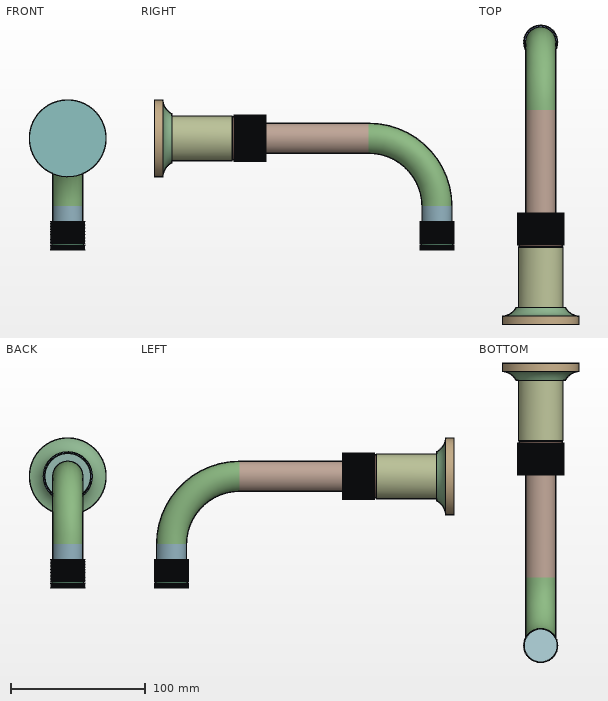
import cadquery as cq
import math

total_reach = 222.2
total_height = 111.3

flange_diameter = 57.1
flange_radius = flange_diameter / 2
rim_thickness = 6.2
flare_height = 13.0
flare_top_radius = 18.2
flare_middle = (21.5, 9.0)

sleeve_radius = 16.7
sleeve_chamfer = 0.7
neck_radius = sleeve_radius - sleeve_chamfer

tube_diameter = 22.5
tube_radius = tube_diameter / 2
bend_radius = 50.5

collar_radius = 17.3
collar_start = 59.1
collar_length = 23.8
collar_end = collar_start + collar_length
collar_diamonds = 48
collar_rows = 20
neck_length = 1.1

tip_radius = 12.7
tip_length = 21.0
outlet_drop = total_height - flange_radius
tip_diamonds = 36
tip_rows = 14
tip_band_rows = 2
tip_band_length = 3.1
tip_groove_width = 1.1

knurl_depth = 0.5
groove_radius = tip_radius - 2 * knurl_depth

outlet_y = total_reach - tip_radius
bend_start = outlet_y - bend_radius


def flat_face(corners):
    return cq.Face.makeFromWires(cq.Wire.makePolygon(corners, close=True))


def knurled_ring(radius, length, diamonds, rows):
    """Solid barrel along +Z whose side is covered with diamond-shaped pyramids."""
    columns = 2 * diamonds

    def grid_point(column, row):
        is_peak = (column + row) % 2 == 0
        r = radius if is_peak else radius - knurl_depth
        angle = 2 * math.pi * (column % columns) / columns
        return cq.Vector(r * math.cos(angle), r * math.sin(angle), length * row / rows)

    faces = []
    for column in range(columns):
        for row in range(rows):
            a = grid_point(column, row)
            b = grid_point(column + 1, row)
            c = grid_point(column + 1, row + 1)
            d = grid_point(column, row + 1)
            if (column + row) % 2 == 0:
                faces += [flat_face([a, b, d]), flat_face([b, c, d])]
            else:
                faces += [flat_face([a, b, c]), flat_face([a, c, d])]
    for row in (0, rows):
        rim = [grid_point(column, row) for column in range(columns)]
        faces.append(flat_face(rim))
    return cq.Workplane(cq.Solid.makeSolid(cq.Shell.makeShell(faces)))


def flange_and_sleeve():
    """Flange, hollow flare, sleeve and neck, turned about the Y axis."""
    neck_start = collar_start - neck_length
    return (
        cq.Workplane("XY")
        .lineTo(flange_radius, 0)
        .lineTo(flange_radius, rim_thickness)
        .threePointArc(flare_middle, (flare_top_radius, flare_height))
        .lineTo(sleeve_radius, flare_height)
        .lineTo(sleeve_radius, neck_start - sleeve_chamfer)
        .lineTo(neck_radius, neck_start)
        .lineTo(neck_radius, collar_start)
        .lineTo(0, collar_start)
        .close()
        .revolve(360, (0, 0, 0), (0, 1, 0))
    )


def bent_tube():
    """Tube from the main collar, through a quarter bend, down to the tip collar."""
    path = (
        cq.Workplane("YZ")
        .moveTo(collar_end, 0)
        .lineTo(bend_start, 0)
        .radiusArc((outlet_y, -bend_radius), bend_radius)
        .lineTo(outlet_y, tip_length - outlet_drop)
    )
    start_plane = cq.Plane(origin=(0, collar_end, 0), xDir=(1, 0, 0), normal=(0, 1, 0))
    return cq.Workplane(start_plane).circle(tube_radius).sweep(path)


def main_collar():
    ring = knurled_ring(collar_radius, collar_length, collar_diamonds, collar_rows)
    return ring.rotate((0, 0, 0), (1, 0, 0), -90).translate((0, collar_start, 0))


def tip_collar():
    """Narrow knurled band at the outlet, a plain groove, then the main knurl above it."""
    upper_start = tip_band_length + tip_groove_width
    upper_length = tip_length - upper_start
    band = knurled_ring(tip_radius, tip_band_length, tip_diamonds, tip_band_rows)
    upper = knurled_ring(tip_radius, upper_length, tip_diamonds, tip_rows)
    groove = (
        cq.Workplane("XY", origin=(0, 0, tip_band_length))
        .circle(groove_radius)
        .extrude(tip_groove_width)
    )
    collar = band.union(groove).union(upper.translate((0, 0, upper_start)))
    return collar.translate((0, outlet_y, -outlet_drop))


result = flange_and_sleeve().union(main_collar()).union(bent_tube()).union(tip_collar())